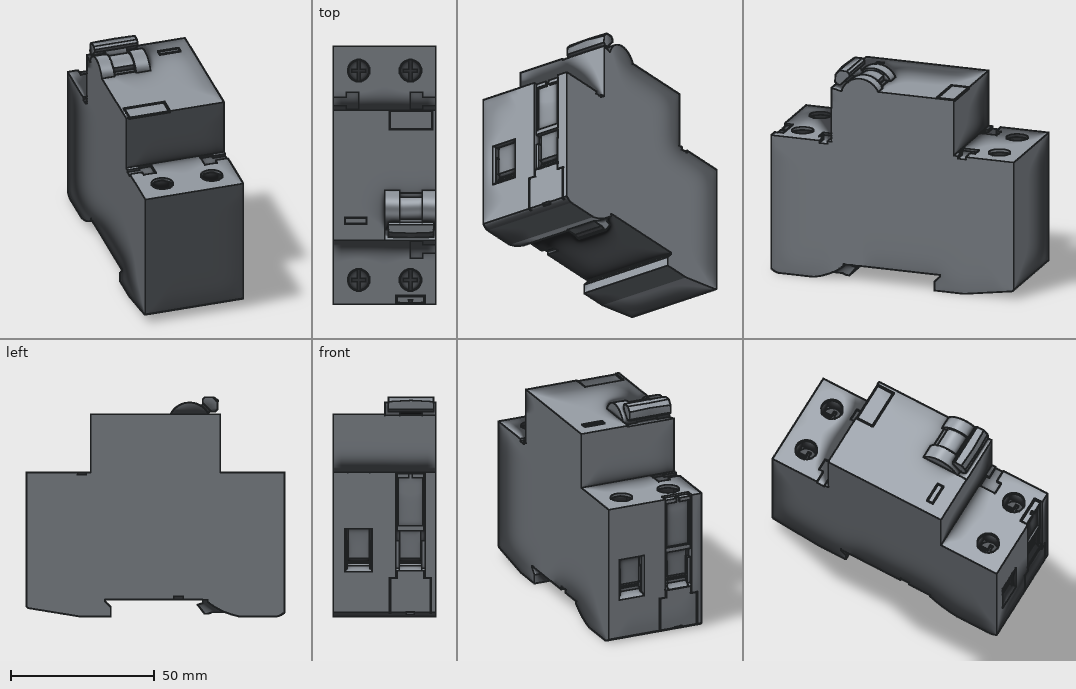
import cadquery as cq

WIDTH = 35.75
LENGTH = 89.8
TERMINAL_TOP = 50.15
TOWER_TOP = 70.35
TOWER_LENGTH = 45.2
OVERALL_HEIGHT = 76.32
RAIL_FLOOR = 5.9
MODULE_PITCH = 18.0

REAR = LENGTH / 2
FRONT = -LENGTH / 2
TOWER_REAR = TOWER_LENGTH / 2
TOWER_FRONT = -TOWER_LENGTH / 2
LEFT_POLE_X = 8.9
RIGHT_POLE_X = LEFT_POLE_X + MODULE_PITCH
OVERCUT = 1.0



def block(x0, x1, y0, y1, z0, z1):
    """Axis-aligned box given by its limits."""
    return cq.Workplane("XY").box(x1 - x0, y1 - y0, z1 - z0, centered=False).translate((x0, y0, z0))


def side_prism(points, x0, x1):
    """Prism along X with a polygonal (y, z) section."""
    return cq.Workplane("YZ").polyline(points).close().extrude(x1 - x0).translate((x0, 0, 0))


def cylinder_along_x(radius, y, z, x0, x1):
    """Cylinder with its axis along X through (y, z)."""
    return cq.Workplane("YZ").center(y, z).circle(radius).extrude(x1 - x0).translate((x0, 0, 0))


REAR_FOOT_EDGE = 15.5
HOOK_UNDERCUT = 2.1
FRONT_FOOT_EDGE = -18.2
FOOT_ARC_END = -29.0
FRONT_TOE_START = -42.2
FRONT_TOE_HEIGHT = 1.4
REAR_SLOPE_END = 26.5
REAR_SLOPE_TOP = 2.9
REAR_CHAMFER = 0.6
HOOK_HEIGHT = 3.3
FOOT_ARC_TOP = 5.0
FOOT_ARC_MIDDLE = (-23.6, 1.75)
TOE_ARC_MIDDLE = (-43.65, 0.5)


def make_housing():
    """Stepped housing with the rail recess and both feet in its underside."""
    return (
        cq.Workplane("YZ")
        .moveTo(REAR_SLOPE_END, 0)
        .lineTo(REAR_FOOT_EDGE, 0)
        .lineTo(REAR_FOOT_EDGE, HOOK_HEIGHT)
        .lineTo(REAR_FOOT_EDGE + HOOK_UNDERCUT, HOOK_HEIGHT + HOOK_UNDERCUT)
        .lineTo(REAR_FOOT_EDGE + HOOK_UNDERCUT, RAIL_FLOOR)
        .lineTo(FRONT_FOOT_EDGE, RAIL_FLOOR)
        .lineTo(FRONT_FOOT_EDGE, FOOT_ARC_TOP)
        .threePointArc(FOOT_ARC_MIDDLE, (FOOT_ARC_END, 0))
        .lineTo(FRONT_TOE_START, 0)
        .threePointArc(TOE_ARC_MIDDLE, (FRONT, FRONT_TOE_HEIGHT))
        .lineTo(FRONT, TERMINAL_TOP)
        .lineTo(TOWER_FRONT, TERMINAL_TOP)
        .lineTo(TOWER_FRONT, TOWER_TOP)
        .lineTo(TOWER_REAR, TOWER_TOP)
        .lineTo(TOWER_REAR, TERMINAL_TOP)
        .lineTo(REAR, TERMINAL_TOP)
        .lineTo(REAR, REAR_SLOPE_TOP + REAR_CHAMFER)
        .lineTo(REAR - REAR_CHAMFER, REAR_SLOPE_TOP)
        .close()
        .extrude(WIDTH)
    )


CLIP_WIDTH = 11.4
CLIP_REAR = -16.4
CLIP_SHANK_BOTTOM = 4.7
CLIP_NOSE = (-14.6, 4.1)
CLIP_TIP_REAR = -17.1
CLIP_TIP_FRONT = -18.1
CLIP_TIP_Z = 0.9
CLIP_BAR_START = -19.7
CLIP_BAR_Z = 1.45
CLIP_BURIED_END = -26.0
CLIP_BURIED_TOP = RAIL_FLOOR + 0.5


def make_rail_clip():
    """Spring clip nose standing out behind the front foot."""
    section = [
        (CLIP_REAR, CLIP_BURIED_TOP),
        (CLIP_REAR, CLIP_SHANK_BOTTOM),
        CLIP_NOSE,
        (CLIP_TIP_REAR, CLIP_TIP_Z),
        (CLIP_TIP_FRONT, CLIP_TIP_Z),
        (CLIP_BAR_START, CLIP_BAR_Z),
        (CLIP_BURIED_END, CLIP_BAR_Z),
        (CLIP_BURIED_END, CLIP_BURIED_TOP),
    ]
    return side_prism(section, RIGHT_POLE_X - CLIP_WIDTH / 2, RIGHT_POLE_X + CLIP_WIDTH / 2)


SCREW_Y = 36.4
SCREW_HOLE_RADIUS = 3.8
ROOF_THICKNESS = 1.2
CHAMBER_HALF = 3.9
CHAMBER_DEPTH = 8.0
SCREW_HEAD_RADIUS = 3.55
SCREW_HEAD_HEIGHT = 1.5
SCREW_SLOT_WIDTH = 1.1
SCREW_SHORT_SLOT = 4.9


def make_screw_recess(x, y):
    """Round access hole, square chamber below it and the cross-slotted screw head on its floor."""
    floor = TERMINAL_TOP - CHAMBER_DEPTH
    slot_half = SCREW_SLOT_WIDTH / 2
    head_top = floor + SCREW_HEAD_HEIGHT
    hole = (
        cq.Workplane("XY", origin=(x, y, floor))
        .circle(SCREW_HOLE_RADIUS)
        .extrude(CHAMBER_DEPTH + OVERCUT)
    )
    chamber = block(
        x - CHAMBER_HALF, x + CHAMBER_HALF, y - CHAMBER_HALF, y + CHAMBER_HALF,
        floor, TERMINAL_TOP - ROOF_THICKNESS,
    )
    head = cq.Workplane("XY", origin=(x, y, floor)).circle(SCREW_HEAD_RADIUS).extrude(SCREW_HEAD_HEIGHT)
    long_slot = block(
        x - slot_half, x + slot_half, y - SCREW_HEAD_RADIUS, y + SCREW_HEAD_RADIUS, floor, head_top
    )
    short_slot = block(
        x - SCREW_SHORT_SLOT / 2, x + SCREW_SHORT_SLOT / 2, y - slot_half, y + slot_half, floor, head_top
    )
    return hole.union(chamber).cut(head.cut(long_slot).cut(short_slot))


NOTCH_DEPTH = 0.9
NOTCH_HEAD_INNER = 4.5
NOTCH_HEAD_OUTER = 9.0
NOTCH_STEM_NEAR = 24.1
NOTCH_STEM_FAR = 27.1
NOTCH_HEAD_NEAR = 22.9
NOTCH_HEAD_FAR = 28.9
RAIL_NOTCH_FRONT = -9.65
RAIL_NOTCH_REAR = -6.35
RAIL_NOTCH_DEPTH = 1.15


def make_shelf_notch(on_left, on_rear):
    """T-shaped shallow notch running out of a side wall."""
    z0 = TERMINAL_TOP - NOTCH_DEPTH
    z1 = TERMINAL_TOP + OVERCUT
    head = block(NOTCH_HEAD_INNER, NOTCH_HEAD_OUTER, NOTCH_HEAD_NEAR, NOTCH_HEAD_FAR, z0, z1)
    stem = block(-OVERCUT, NOTCH_HEAD_INNER, NOTCH_STEM_NEAR, NOTCH_STEM_FAR, z0, z1)
    notch = head.union(stem)
    if not on_left:
        notch = notch.mirror("YZ").translate((WIDTH, 0, 0))
    if not on_rear:
        notch = notch.mirror("XZ")
    return notch


def make_rail_notch():
    """Shallow notch in the rail recess at the left wall."""
    return block(
        -OVERCUT, NOTCH_HEAD_INNER, RAIL_NOTCH_FRONT, RAIL_NOTCH_REAR,
        RAIL_FLOOR - OVERCUT, RAIL_FLOOR + RAIL_NOTCH_DEPTH,
    )


MOUTH_HALF = 4.8
MOUTH_BOTTOM = 15.5
MOUTH_TOP = 30.6
MOUTH_TAPER = 0.5
PLATE_Y = FRONT + 2.1
LEDGE_Y = FRONT + 1.2
SHOULDER_Y = FRONT + 2.9
LEDGE_TOP = 26.4
PLATE_HALF = 3.65
PLATE_BOTTOM = 20.3
CLAMP_HALF = 3.9
CLAMP_TOP = 19.0
CLAMP_LIP = 18.6
CLAMP_BOTTOM = 17.6
CLAMP_FRONT_Y = FRONT + 2.2
CLAMP_LIP_Y = FRONT + 2.6
UNDERCUT_Y = FRONT + 3.4


def make_clamp_recess(x, top, half_width):
    """Space of the clamp behind the ledges: plate above, undercut gap and jaw below."""
    jaw_section = [
        (FRONT, PLATE_BOTTOM),
        (PLATE_Y, PLATE_BOTTOM),
        (UNDERCUT_Y, CLAMP_TOP),
        (CLAMP_LIP_Y, CLAMP_TOP),
        (CLAMP_LIP_Y, CLAMP_LIP),
        (CLAMP_FRONT_Y, CLAMP_BOTTOM),
        (FRONT, MOUTH_BOTTOM),
    ]
    jaw_space = side_prism(jaw_section, x - CLAMP_HALF, x + CLAMP_HALF)
    between_ledges = block(x - CLAMP_HALF, x + CLAMP_HALF, FRONT, SHOULDER_Y, PLATE_BOTTOM, top)
    above_ledges = block(x - half_width, x + half_width, FRONT, SHOULDER_Y, LEDGE_TOP, top)
    plate = block(x - PLATE_HALF, x + PLATE_HALF, PLATE_Y, SHOULDER_Y, PLATE_BOTTOM, top)
    return between_ledges.union(above_ledges).cut(plate).union(jaw_space)


def make_left_mouth():
    """Tapered rectangular conductor opening of the left pole."""
    slope = (CLAMP_BOTTOM - MOUTH_BOTTOM) / (CLAMP_FRONT_Y - FRONT)
    ramp_rise = slope * (LEDGE_Y - FRONT)
    x = LEFT_POLE_X
    inner = MOUTH_HALF - MOUTH_TAPER
    plan = (
        cq.Workplane("XY", origin=(0, 0, MOUTH_BOTTOM))
        .polyline([
            (x - MOUTH_HALF, FRONT),
            (x + MOUTH_HALF, FRONT),
            (x + inner, LEDGE_Y),
            (x - inner, LEDGE_Y),
        ])
        .close()
        .extrude(MOUTH_TOP - MOUTH_BOTTOM)
    )
    ramp_body = side_prism(
        [(FRONT, MOUTH_BOTTOM), (LEDGE_Y, MOUTH_BOTTOM), (LEDGE_Y, MOUTH_BOTTOM + ramp_rise)],
        x - MOUTH_HALF,
        x + MOUTH_HALF,
    )
    return plan.cut(ramp_body).union(make_clamp_recess(x, MOUTH_TOP, inner))


CHANNEL_HALF = 5.07
CHANNEL_BACK = FRONT + 3.1
GAP = 0.4
SHOULDER_GAP = 0.15
CHANNEL_STEP = 13.4
COVER_HALF = 7.3
COVER_TOP = 15.9
COVER_GROOVE_DEPTH = 1.0
COVER_BOTTOM = 1.1
FRAME_BOTTOM = 29.9
FRAME_TOP = 49.6
FRAME_Y = FRONT + 0.6
WINDOW_HALF = 4.25
WINDOW_BOTTOM = 31.6
WINDOW_TOP = 48.2
WINDOW_DEPTH = 1.0
FRAME_NOTCH_HALF = 0.65
RELEASE_HALF = 1.4
RELEASE_BOTTOM = 0.7
RELEASE_TOP = 1.7
RELEASE_RAMP_FRONT = FRONT + 0.5
RELEASE_DEPTH_Y = FRONT + 1.5
RELEASE_RAMP_TOP = 1.5


def make_front_channel():
    """Open channel in front of the right pole, running up through the shelf."""
    x = RIGHT_POLE_X
    x0 = x - CHANNEL_HALF
    x1 = x + CHANNEL_HALF
    marker_space = block(x0, x1, FRONT - OVERCUT, CHANNEL_BACK, FRAME_BOTTOM, TERMINAL_TOP + OVERCUT)
    mouth = block(x0, x1, FRONT - OVERCUT, LEDGE_Y, COVER_TOP, FRAME_BOTTOM)
    sill = side_prism(
        [(FRONT, COVER_TOP), (CLAMP_FRONT_Y, COVER_TOP), (CLAMP_FRONT_Y, CLAMP_BOTTOM)], x0, x1
    )
    above_cover = block(x0, x1, FRONT, REAR, COVER_TOP, FRAME_BOTTOM)
    clamp = make_clamp_recess(x, FRAME_BOTTOM, CHANNEL_HALF).intersect(above_cover)
    return marker_space.union(mouth.cut(sill)).union(clamp)


def make_cover_grooves():
    """Parting grooves on both sides and shoulders of the lower cover."""
    y0 = FRONT - OVERCUT
    y1 = FRONT + COVER_GROOVE_DEPTH
    shoulder = CHANNEL_STEP - SHOULDER_GAP
    grooves = cq.Workplane("XY")
    for side in (-1, 1):
        outer = RIGHT_POLE_X + side * COVER_HALF
        neck = RIGHT_POLE_X + side * CHANNEL_HALF
        outer_limits = sorted((outer, outer - side * GAP))
        shoulder_limits = sorted((outer, neck))
        neck_limits = sorted((neck, neck - side * GAP))
        grooves = grooves.add(block(*outer_limits, y0, y1, COVER_BOTTOM, CHANNEL_STEP))
        grooves = grooves.add(block(*shoulder_limits, y0, y1, shoulder, CHANNEL_STEP))
        grooves = grooves.add(block(*neck_limits, y0, y1, shoulder, COVER_TOP))
    return grooves.combine()


def make_marker_frame():
    """Label frame in the channel with a sunken window and a notch at its top."""
    x = RIGHT_POLE_X
    half = CHANNEL_HALF - GAP
    frame = block(x - half, x + half, FRAME_Y, CHANNEL_BACK - GAP, FRAME_BOTTOM, FRAME_TOP)
    window_y = FRAME_Y + WINDOW_DEPTH
    window = block(x - WINDOW_HALF, x + WINDOW_HALF, FRAME_Y, window_y, WINDOW_BOTTOM, WINDOW_TOP)
    notch = block(x - FRAME_NOTCH_HALF, x + FRAME_NOTCH_HALF, FRAME_Y, window_y, WINDOW_TOP, FRAME_TOP)
    return frame.cut(window).cut(notch)


def make_release_notch():
    """Small screwdriver notch with a sloping floor at the lower edge of the cover."""
    section = [
        (FRONT - OVERCUT, RELEASE_BOTTOM),
        (RELEASE_RAMP_FRONT, RELEASE_BOTTOM),
        (RELEASE_DEPTH_Y, RELEASE_RAMP_TOP),
        (RELEASE_DEPTH_Y, RELEASE_TOP),
        (FRONT - OVERCUT, RELEASE_TOP),
    ]
    return side_prism(section, RIGHT_POLE_X - RELEASE_HALF, RIGHT_POLE_X + RELEASE_HALF)


BUTTON_X = 27.1
BUTTON_HALF = 7.5
BUTTON_FRONT = 15.9
BUTTON_POCKET_DEPTH = 0.6
BUTTON_DROP = 0.15
BUTTON_GAP = 0.35


def make_button_pocket():
    """Pocket open to the rear, around a slightly sunken push button."""
    x = BUTTON_X
    floor = TOWER_TOP - BUTTON_POCKET_DEPTH
    pocket = block(
        x - BUTTON_HALF, x + BUTTON_HALF, BUTTON_FRONT, TOWER_REAR + OVERCUT, floor, TOWER_TOP + OVERCUT
    )
    half = BUTTON_HALF - BUTTON_GAP
    button = block(
        x - half, x + half, BUTTON_FRONT + BUTTON_GAP, TOWER_REAR - BUTTON_GAP, floor, TOWER_TOP - BUTTON_DROP
    )
    return pocket.cut(button)


INDICATOR_LEFT = 4.05
INDICATOR_RIGHT = 11.7
INDICATOR_FRONT = -17.05
INDICATOR_REAR = -14.55
INDICATOR_END_GAP = 0.18
INDICATOR_SIDE_GAP = 0.35
INDICATOR_DEPTH = 0.3


def make_indicator_groove():
    """Narrow groove around the flush indicator window."""
    z0 = TOWER_TOP - INDICATOR_DEPTH
    z1 = TOWER_TOP + OVERCUT
    outline = block(INDICATOR_LEFT, INDICATOR_RIGHT, INDICATOR_FRONT, INDICATOR_REAR, z0, z1)
    window = block(
        INDICATOR_LEFT + INDICATOR_END_GAP, INDICATOR_RIGHT - INDICATOR_END_GAP,
        INDICATOR_FRONT + INDICATOR_SIDE_GAP, INDICATOR_REAR - INDICATOR_SIDE_GAP,
        z0, z1,
    )
    return outline.cut(window)


DRUM_Y = -11.85
DRUM_Z = 67.1
DRUM_RADIUS = 7.35
HUB_RADIUS = 6.6
DRUM_LEFT = 18.0
HUB_STEP_Y = -7.7
HUB_LEFT = 23.2
HUB_RIGHT = 31.0
LEVER_LEFT = 19.2
LEVER_RIGHT = 34.95
LEVER_MIDDLE = (LEVER_LEFT + LEVER_RIGHT) / 2
LEVER_TOP_REAR = -17.2
LEVER_REAR = -16.35
LEVER_REAR_HIGH = 75.5
LEVER_REAR_LOW = 74.4
LEVER_HEEL = (-19.55, 71.15)
LEVER_TOE = (-20.7, 71.2)
LEVER_FRONT_LOW = (-21.6, 72.0)
END_TOP_FRONT = -19.85
END_CHAMFER_FOOT = (-21.4, 74.7)
CREST_TOP_FRONT = -20.15
CREST_CHAMFER_FOOT = (-21.75, 75.15)
STALK_LENGTH = 4.4
STALK_THICKNESS = 3.6
STALK_CENTER = (-16.5, 71.4)
STALK_TILT = 45.0
RAMP_DROP_FRONT = 0.4
RAMP_DROP_REAR = 1.2
HUB_STEP_RISE = 0.2


def make_lever_recess():
    """Ramp cut into the tower top in front of the drum."""
    section = [
        (TOWER_FRONT, TOWER_TOP + OVERCUT),
        (TOWER_FRONT, TOWER_TOP - RAMP_DROP_FRONT),
        (DRUM_Y - DRUM_RADIUS, TOWER_TOP - RAMP_DROP_REAR),
        (DRUM_Y, TOWER_TOP - RAMP_DROP_REAR),
        (DRUM_Y, TOWER_TOP + OVERCUT),
    ]
    return side_prism(section, DRUM_LEFT, WIDTH)


def handle_section(top_front, chamfer_foot):
    """Octagonal (y, z) section of the handle bar."""
    return [
        (LEVER_TOP_REAR, OVERALL_HEIGHT),
        (top_front, OVERALL_HEIGHT),
        chamfer_foot,
        LEVER_FRONT_LOW,
        LEVER_TOE,
        LEVER_HEEL,
        (LEVER_REAR, LEVER_REAR_LOW),
        (LEVER_REAR, LEVER_REAR_HIGH),
    ]


def make_handle():
    """Handle bar whose front swells from both ends to a crease in the middle."""
    left_half = (
        cq.Workplane("YZ", origin=(LEVER_LEFT, 0, 0))
        .polyline(handle_section(END_TOP_FRONT, END_CHAMFER_FOOT))
        .close()
        .workplane(offset=LEVER_MIDDLE - LEVER_LEFT)
        .polyline(handle_section(CREST_TOP_FRONT, CREST_CHAMFER_FOOT))
        .close()
        .loft(ruled=True)
    )
    right_half = left_half.mirror("YZ", basePointVector=(LEVER_MIDDLE, 0, 0))
    return left_half.union(right_half, clean=False)


def make_stalk():
    """Tilted plate between the hub and the handle."""
    return (
        cq.Workplane("YZ", origin=(HUB_LEFT, 0, 0))
        .center(*STALK_CENTER)
        .transformed(rotate=(0, 0, -STALK_TILT))
        .rect(STALK_LENGTH, STALK_THICKNESS)
        .extrude(HUB_RIGHT - HUB_LEFT)
    )


def make_lever():
    """Drum with narrower stepped hub, stalk and handle bar."""
    drum = cylinder_along_x(DRUM_RADIUS, DRUM_Y, DRUM_Z, DRUM_LEFT, WIDTH)
    drum = drum.cut(cylinder_along_x(DRUM_RADIUS + OVERCUT, DRUM_Y, DRUM_Z, HUB_LEFT, HUB_RIGHT))
    hub = cylinder_along_x(HUB_RADIUS, DRUM_Y, DRUM_Z, HUB_LEFT, HUB_RIGHT)
    hub_step = block(
        HUB_LEFT, HUB_RIGHT, HUB_STEP_Y, DRUM_Y + HUB_RADIUS, TOWER_TOP + HUB_STEP_RISE, OVERALL_HEIGHT
    )
    moving = drum.union(hub.cut(hub_step)).union(make_stalk())
    return moving.union(make_handle(), clean=False)


result = make_housing().union(make_rail_clip())
for pole_x in (LEFT_POLE_X, RIGHT_POLE_X):
    for screw_y in (-SCREW_Y, SCREW_Y):
        result = result.cut(make_screw_recess(pole_x, screw_y))
for left, rear in ((True, True), (False, True), (False, False)):
    result = result.cut(make_shelf_notch(left, rear))
result = result.cut(make_rail_notch())
result = result.cut(make_left_mouth())
result = result.cut(make_front_channel())
result = result.cut(make_cover_grooves())
result = result.union(make_marker_frame())
result = result.cut(make_release_notch())
result = result.cut(make_button_pocket())
result = result.cut(make_indicator_groove())
result = result.cut(make_lever_recess())
result = result.union(make_lever(), clean=False)